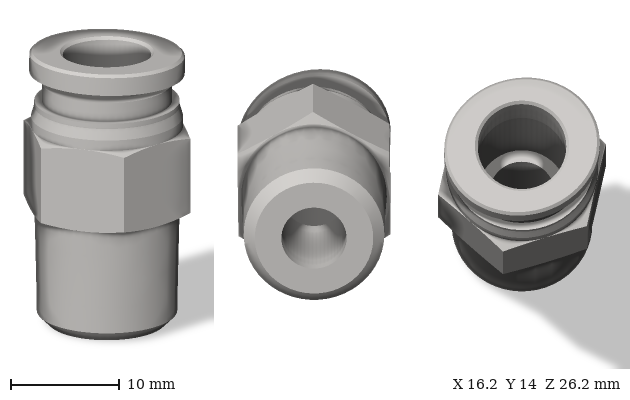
import cadquery as cq
import math

HEX_SIDES = 6
FULL_TURN = 360

total_height = 26.2
thread_height = 11.0
hex_height = 8.0
rim_cylinder_height = 1.0
rim_cone_height = 1.02
rim_lip_height = 0.5
ring_height = 1.78
collar_thickness = 2.0

hex_top = thread_height + hex_height
rim_cone_bottom = hex_top + rim_cylinder_height
rim_cone_top = rim_cone_bottom + rim_cone_height
housing_top = rim_cone_top + rim_lip_height
ring_top = housing_top + ring_height
collar_bottom = total_height - collar_thickness

hex_across_corners = 16.17
hex_across_flats = hex_across_corners * math.sqrt(3) / 2
hex_corner_drop = 0.37
rim_diameter = hex_across_flats
thread_top_diameter = 13.4
lip_diameter = thread_top_diameter
thread_bottom_diameter = 12.95
thread_chamfer = 1.02
housing_bore_diameter = 8.2
through_hole_diameter = 6.0
bore_floor = thread_height

collar_length = 14.44
collar_width = 13.13
edge_chamfer = 0.25
neck_diameter = 9.6
neck_flare = 0.1
ring_diameter = 12.0
sleeve_bore_diameter = 8.15


def cylinder(diameter, bottom, top):
    """Upright cylinder on the Z axis between two heights."""
    return cq.Workplane("XY").workplane(offset=bottom).circle(diameter / 2).extrude(top - bottom)


def revolved(outline):
    """Solid of revolution about Z from (radius, height) points."""
    return cq.Workplane("XZ").polyline(outline).close().revolve(FULL_TURN, (0, 0, 0), (0, 1, 0))


def make_thread():
    """Tapered shank with a chamfered lower end."""
    top_radius = thread_top_diameter / 2
    bottom_radius = thread_bottom_diameter / 2
    return revolved([
        (0, 0),
        (bottom_radius - thread_chamfer, 0),
        (bottom_radius, thread_chamfer),
        (top_radius, thread_height),
        (0, thread_height),
    ])


def make_hexagon():
    """Hexagon with corners on the X axis, its corners bevelled at both ends."""
    prism = (
        cq.Workplane("XY")
        .workplane(offset=thread_height)
        .polygon(HEX_SIDES, hex_across_corners)
        .extrude(hex_height)
    )
    flat_radius = hex_across_flats / 2
    corner_radius = hex_across_corners / 2
    bevel_envelope = revolved([
        (0, thread_height),
        (flat_radius, thread_height),
        (corner_radius, thread_height + hex_corner_drop),
        (corner_radius, hex_top - hex_corner_drop),
        (flat_radius, hex_top),
        (0, hex_top),
    ])
    return prism.intersect(bevel_envelope)


def make_rim():
    """Round rim above the hexagon: cylinder, cone and narrow lip."""
    rim_radius = rim_diameter / 2
    lip_radius = lip_diameter / 2
    return revolved([
        (0, hex_top),
        (rim_radius, hex_top),
        (rim_radius, rim_cone_bottom),
        (lip_radius, rim_cone_top),
        (lip_radius, housing_top),
        (0, housing_top),
    ])


def make_housing():
    """Threaded hexagon body with a wide bore above a narrower through hole."""
    blank = make_thread().union(make_hexagon()).union(make_rim())
    wide_bore = cylinder(housing_bore_diameter, bore_floor, housing_top)
    through_hole = cylinder(through_hole_diameter, 0, bore_floor)
    return blank.cut(wide_bore).cut(through_hole)


def make_neck():
    """Sleeve neck, flared at 45 degrees where it meets the collar."""
    neck_radius = neck_diameter / 2
    return revolved([
        (0, ring_top),
        (neck_radius, ring_top),
        (neck_radius, collar_bottom - neck_flare),
        (neck_radius + neck_flare, collar_bottom),
        (0, collar_bottom),
    ])


def make_sleeve():
    """Release sleeve that rests on the housing, with a chamfered oval collar."""
    collar = (
        cq.Workplane("XY")
        .workplane(offset=collar_bottom)
        .ellipse(collar_length / 2, collar_width / 2)
        .extrude(collar_thickness)
        .faces(">Z")
        .chamfer(edge_chamfer)
    )
    ring = cylinder(ring_diameter, housing_top, ring_top)
    neck = make_neck()
    bore = cylinder(sleeve_bore_diameter, housing_top, total_height)
    body = ring.union(neck).union(collar).cut(bore)
    bore_mouth = cq.selectors.RadiusNthSelector(0)
    return body.faces(">Z").edges(bore_mouth).chamfer(edge_chamfer)


housing = make_housing()
sleeve = make_sleeve()

result = cq.Compound.makeCompound([housing.val(), sleeve.val()])